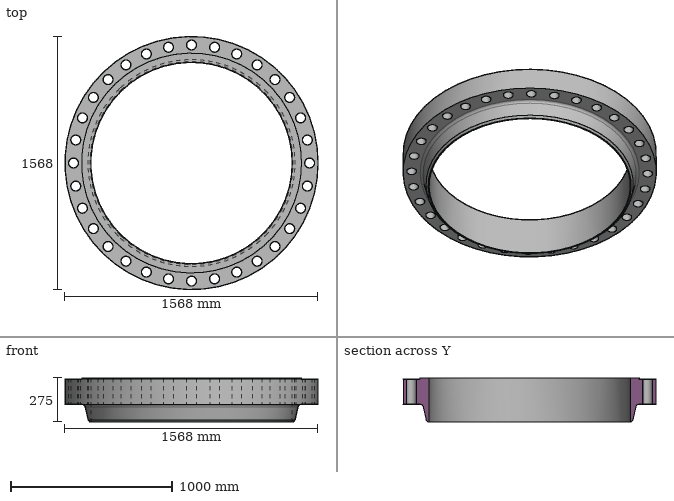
import cadquery as cq

flange_diameter = 1568.0
total_height = 275.0
bore_diameter = 1245.0

face_diameter = 1361.0
face_height = 8.0
flange_thickness = 157.0

hub_top_diameter = 1327.0
hub_bottom_diameter = 1283.0
hub_fillet_radius = 19.0
weld_bevel_height = 13.0
weld_tip_diameter = 1258.0

bolt_count = 32
bolt_circle_diameter = 1462.0
bolt_hole_diameter = 60.0

flange_top = total_height - face_height
flange_bottom = flange_top - flange_thickness


def make_ring():
    """Revolve the flange, raised face and hub about the Z axis."""
    profile = (
        cq.Workplane("XZ")
        .moveTo(bore_diameter / 2, 0)
        .lineTo(weld_tip_diameter / 2, 0)
        .lineTo(hub_bottom_diameter / 2, weld_bevel_height)
        .lineTo(hub_top_diameter / 2, flange_bottom)
        .lineTo(flange_diameter / 2, flange_bottom)
        .lineTo(flange_diameter / 2, flange_top)
        .lineTo(face_diameter / 2, flange_top)
        .lineTo(face_diameter / 2, total_height)
        .lineTo(bore_diameter / 2, total_height)
        .close()
    )
    return profile.revolve(360, (0, 0, 0), (0, 1, 0))


def fillet_hub_root(ring):
    """Round the inside corner where the hub meets the flange underside."""
    root_height = cq.selectors.BoxSelector(
        (-flange_diameter, -flange_diameter, flange_bottom - hub_fillet_radius),
        (flange_diameter, flange_diameter, flange_bottom + hub_fillet_radius),
    )
    root_edge = ring.edges("%CIRCLE").edges(root_height).edges(cq.selectors.RadiusNthSelector(0))
    return root_edge.fillet(hub_fillet_radius)


def drill_bolt_holes(ring):
    """Drill the ring of bolt holes through the flange, one of them on the X axis."""
    holes = (
        cq.Workplane("XY")
        .workplane(offset=flange_bottom)
        .polarArray(bolt_circle_diameter / 2, 0, 360, bolt_count)
        .circle(bolt_hole_diameter / 2)
        .extrude(flange_thickness)
    )
    return ring.cut(holes)


result = drill_bolt_holes(fillet_hub_root(make_ring()))